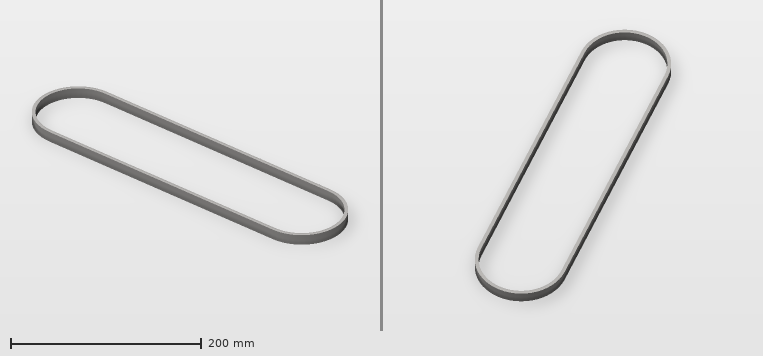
import cadquery as cq

length = 398.0
width = 98.0
height = 12.0
wall = 4.0


def oblong(outer_length, outer_width):
    """Solid oblong with full-round ends along X, centred on the origin."""
    return cq.Workplane("XY").slot2D(outer_length, outer_width).extrude(height)


opening = oblong(length - 2 * wall, width - 2 * wall)
result = oblong(length, width).cut(opening)